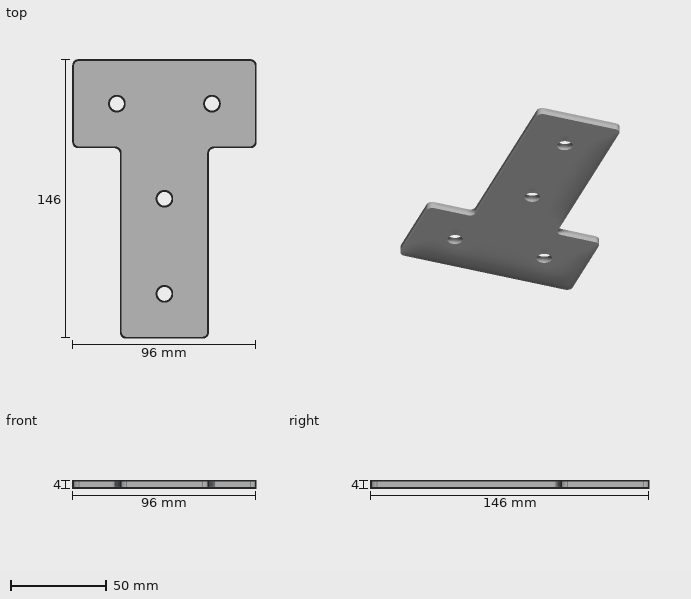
import cadquery as cq

length = 146.0
head_width = 96.0
arm_width = 46.0
thickness = 4.0
corner_radius = 3.0
hole_diameter = 8.2
hole_pitch = 50.0

top_y = length / 2
head_y = top_y - arm_width / 2


def arm(width, height, center_y):
    """Rectangular plate on the XY plane, centred across X."""
    return (
        cq.Workplane("XY")
        .center(0, center_y)
        .rect(width, height)
        .extrude(thickness)
    )


stem = arm(arm_width, length, 0)
crossbar = arm(head_width, arm_width, head_y)
plate = stem.union(crossbar).edges("|Z").fillet(corner_radius)

hole_centers = [
    (-hole_pitch / 2, head_y),
    (hole_pitch / 2, head_y),
    (0, head_y - hole_pitch),
    (0, head_y - 2 * hole_pitch),
]
holes = cq.Workplane("XY").pushPoints(hole_centers).circle(hole_diameter / 2).extrude(thickness)

result = plate.cut(holes)